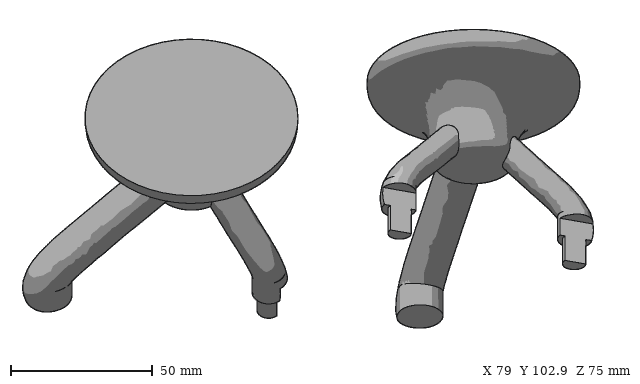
import cadquery as cq
import math

seat_radius = 75.0 / 2
top_z = 75.0
rim_height = 1.6
lip_z = 68.4
lip_radius = 34.7
flare_z = 66.2
flare_radius = 29.4
waist_radius = 18.8
waist_z = 58.3
neck_radius = 15.0
neck_z = 44.9
neck_bottom_z = 40.1
neck_round = neck_z - neck_bottom_z

foot_z = 9.9
foot_top_z = 20.0
floor_span = 4 * top_z

front_foot_y = -55.8
front_foot_diameter = 16.0
front_leg_width = 15.9
front_leg_thickness = 14.4

rear_foot_x = 32.6
rear_foot_y = 14.1
rear_foot_diameter = 11.7
rear_leg_width = 12.3
rear_leg_thickness = 10.9
rear_root_x = 8.2
rear_root_y = 4.3
peg_diameter = 8.2
notch_y = 15.4
notch_top_z = 16.7

front_root_y = -8.2
front_path = [(0, 51.9), (16.5, 41.7), (35.1, 30.2), (45.2, 22.8), (49.9, 15.4), (46.5, 8.2)]
rear_path = [(0, 49.4), (8.2, 40.4), (16.5, 31.8), (24.7, 22.3), (27.7, 15.1), (25.5, 8.2)]


def make_seat():
    """Round top flaring in to a neck with a rounded underside."""
    diagonal = math.sqrt(0.5)
    neck_round_center = neck_radius - neck_round
    profile = (
        cq.Workplane("XZ")
        .moveTo(0, top_z)
        .lineTo(seat_radius, top_z)
        .lineTo(seat_radius, top_z - rim_height)
        .spline([(lip_radius, lip_z)], tangents=[(0, -1), (-2, -1)], includeCurrent=True)
        .lineTo(flare_radius, flare_z)
        .spline(
            [(waist_radius, waist_z), (neck_radius, neck_z)],
            tangents=[(-2, -1), (0, -1)],
            includeCurrent=True,
        )
        .threePointArc(
            (neck_round_center + neck_round * diagonal, neck_z - neck_round * diagonal),
            (neck_round_center, neck_bottom_z),
        )
        .lineTo(0, neck_bottom_z)
        .close()
    )
    return profile.revolve(360, (0, 0, 0), (0, 1, 0))


def make_leg(root, foot, path_points, width, thickness, foot_diameter):
    """Bent oval leg from root to foot, with a vertical round foot, cut flat at the floor."""
    run_x = foot[0] - root[0]
    run_y = foot[1] - root[1]
    run = math.hypot(run_x, run_y)
    outward = cq.Vector(run_x / run, run_y / run, 0)
    sideways = cq.Vector(-outward.y, outward.x, 0)
    points = [cq.Vector(root[0], root[1], z) + outward * out for out, z in path_points]
    path = cq.Workplane("XY").add(cq.Edge.makeSpline(points)).toPending()
    start_plane = cq.Plane(points[0], sideways, path.val().tangentAt(0))
    arm = cq.Workplane(start_plane).ellipse(width / 2, thickness / 2).sweep(path)
    floor = cq.Workplane("XY").box(floor_span, floor_span, foot_z, centered=(True, True, False))
    ankle = (
        cq.Workplane("XY", origin=(foot[0], foot[1], foot_z))
        .circle(foot_diameter / 2)
        .extrude(foot_top_z - foot_z)
    )
    return arm.cut(floor).union(ankle)


def make_rear_leg():
    """Right rear leg with its peg, notched flat on the rear side of the foot."""
    leg = make_leg(
        (rear_root_x, rear_root_y),
        (rear_foot_x, rear_foot_y),
        rear_path,
        rear_leg_width,
        rear_leg_thickness,
        rear_foot_diameter,
    )
    peg = (
        cq.Workplane("XY", origin=(rear_foot_x, rear_foot_y, 0))
        .circle(peg_diameter / 2)
        .extrude(foot_top_z)
    )
    notch = cq.Workplane("XY", origin=(rear_foot_x, notch_y, 0)).box(
        2 * rear_foot_diameter, rear_foot_diameter, notch_top_z, centered=(True, False, False)
    )
    return leg.union(peg).cut(notch)


front_leg = make_leg(
    (0, front_root_y),
    (0, front_foot_y),
    front_path,
    front_leg_width,
    front_leg_thickness,
    front_foot_diameter,
)
rear_leg = make_rear_leg()
result = make_seat().union(front_leg).union(rear_leg).union(rear_leg.mirror("YZ"))